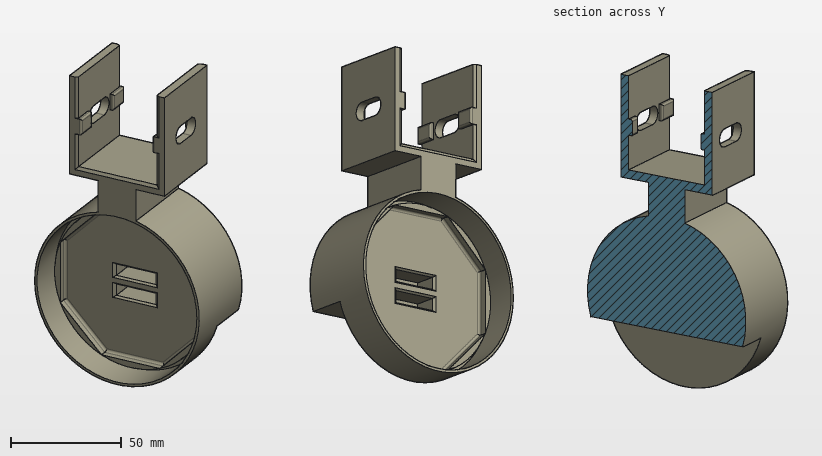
import cadquery as cq
import math

depth = 40.0
total_height = 148.5

cup_diameter = 85.0
bore_diameter = 82.4

collar_diameter = 78.4
collar_top_y = 12.8
collar_height = 4.3
octagon_sides = 8
octagon_width = 72.5
octagon_foot_round = 1.26

slot_length = 20.5
slot_height = 5.6
slot_pitch = 10.0
slot_pair_z = 0.1
slot_depth = 11.9
slot_bevel_x = 1.3
slot_bevel_z = 0.9
slot_bevel_depth = 1.0

step_height = 30.3
step_depth = depth / 2

bracket_width = 49.0
bracket_height = 49.0
bracket_wall = 4.3
bracket_bevel = 1.5
bracket_bevel_depth = 0.9
neck_width = 19.6

hole_length = 18.3
hole_height = 8.6
hole_below_top = 24.5

tab_length = 9.8
tab_height = 7.9
tab_thickness = 2.0
tab_round = 0.9

cup_radius = cup_diameter / 2
top_z = total_height - cup_radius
bracket_base_z = top_z - bracket_height
bracket_floor_z = bracket_base_z + bracket_wall
arm_inner_x = bracket_width / 2 - bracket_wall
hole_z = top_z - hole_below_top
cup_floor_y = collar_top_y + collar_height


def block(x_min, x_max, y_min, y_max, z_min, z_max):
    """Box given by its limits along each axis."""
    size = (x_max - x_min, y_max - y_min, z_max - z_min)
    return cq.Workplane("XY").box(*size, centered=False).translate((x_min, y_min, z_min))


def plane_at(y):
    """Workplane at depth y; local X and Y are the part's X and Z, and offsets run toward -Y."""
    return cq.Workplane("XZ", origin=(0, y, 0))


def make_cup():
    """Disc with a blind bore in its front, cut away under its rear half."""
    cup = plane_at(0).circle(cup_radius).extrude(-depth)
    bore = plane_at(0).circle(bore_diameter / 2).extrude(-cup_floor_y)
    step_top_z = step_height - cup_radius
    step = block(-cup_radius, cup_radius, step_depth, depth, -cup_radius, step_top_z)
    return cup.cut(bore).cut(step)


def make_collar():
    """Ring on the cup floor whose octagonal opening has its flats square to X and Z."""
    half_sector = 180 / octagon_sides
    ring = plane_at(collar_top_y).circle(collar_diameter / 2).extrude(-collar_height)
    corner_diameter = octagon_width / math.cos(math.radians(half_sector))
    opening = plane_at(collar_top_y).polygon(octagon_sides, corner_diameter).extrude(-collar_height)
    opening = opening.rotate((0, 0, 0), (0, 1, 0), half_sector)
    return ring.cut(opening.faces(">Y").edges().fillet(octagon_foot_round))


def make_slot(centre_z):
    """Blind slot whose mouth opens out with a bevel."""
    start = plane_at(cup_floor_y).center(0, centre_z)
    bevel = (
        start.rect(slot_length + 2 * slot_bevel_x, slot_height + 2 * slot_bevel_z)
        .workplane(offset=-slot_bevel_depth)
        .rect(slot_length, slot_height)
        .loft()
    )
    straight = start.rect(slot_length, slot_height).extrude(-slot_depth)
    return bevel.union(straight)


def make_bracket():
    """Square U whose inner edges are bevelled at the front and rear."""
    half_width = bracket_width / 2
    bracket = block(-half_width, half_width, 0, depth, bracket_base_z, top_z)
    bracket = bracket.cut(block(-arm_inner_x, arm_inner_x, 0, depth, bracket_floor_z, top_z))

    channel_width = 2 * arm_inner_x
    channel_height = top_z - bracket_floor_z
    for end_y, inward in ((0, 1), (depth, -1)):
        flare = (
            plane_at(end_y)
            .center(0, top_z)
            .rect(channel_width + 2 * bracket_bevel, 2 * (channel_height + bracket_bevel))
            .workplane(offset=-inward * bracket_bevel_depth)
            .rect(channel_width, 2 * channel_height)
            .loft()
        )
        bracket = bracket.cut(flare)
    return bracket


def make_tab(side, y_min):
    """Tab on the inside of one arm (side is -1 or 1), rounded around its face."""
    tab = block(
        arm_inner_x - tab_thickness, arm_inner_x + bracket_bevel,
        y_min, y_min + tab_length,
        hole_z - tab_height / 2, hole_z + tab_height / 2,
    )
    tab = tab.faces("<X").edges().fillet(tab_round)
    return tab if side > 0 else tab.mirror("YZ")


def make_neck():
    """Block running from the bracket down into the cup, trimmed clear of the bore."""
    neck = block(-neck_width / 2, neck_width / 2, 0, depth, 0, bracket_base_z)
    return neck.cut(plane_at(0).circle(bore_diameter / 2).extrude(-depth))


def make_arm_holes():
    """Oblong cutter, long in Y, that passes through both arms along X."""
    return (
        cq.Workplane("YZ", origin=(0, depth / 2, hole_z))
        .slot2D(hole_length, hole_height)
        .extrude(bracket_width / 2, both=True)
    )


result = make_cup().union(make_collar())
for slot_z in (slot_pair_z - slot_pitch / 2, slot_pair_z + slot_pitch / 2):
    result = result.cut(make_slot(slot_z))
result = result.union(make_neck()).union(make_bracket())
for arm_side in (-1, 1):
    for tab_y in (0, depth - tab_length):
        result = result.union(make_tab(arm_side, tab_y))
result = result.cut(make_arm_holes())